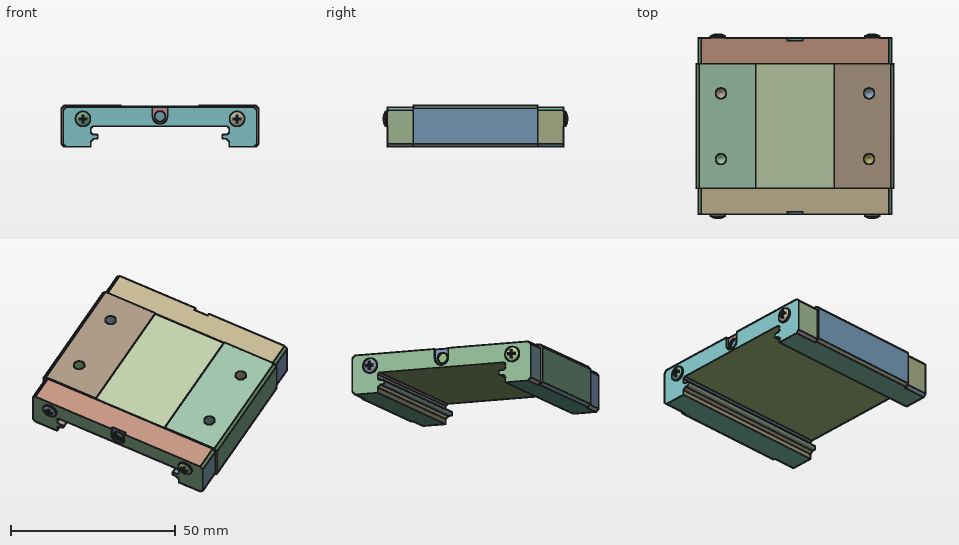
import cadquery as cq
import math

body_width = 60.0
body_length = 37.8
body_height = 12.6
cap_width = 58.8
cap_height = 12.1
carriage_length = 53.6
edge_chamfer = 0.9

channel_half_width = 21.0
channel_height = 6.25
channel_corner_chamfer = 0.6
tongue_half_gap = 18.85
tongue_top = 3.85
tongue_bottom = 2.45
tongue_tip_radius = 0.55
tongue_root_half_gap = 20.1
notch_top = 4.5
notch_bottom = 1.6

pad_recess_half_width = 11.9
pad_recess_depth = 0.25

hole_diameter = 3.25
hole_spacing_x = 45.0
hole_spacing_y = 20.0
hole_depth = 4.0
drill_tip_angle = 118.0

screw_spacing = 46.8
screw_z = 8.5
head_radius = 2.3
head_rim_height = 0.5
head_height = 1.2
cross_length = 2.35
cross_width = 0.55
cross_depth = 0.6

port_z = 9.3
port_slot_radius = 2.3
port_slot_depth = 0.8
port_hole_radius = 1.6
port_hole_depth = 1.45

cap_end = carriage_length / 2


def block(width, height, length):
    """Bar along Y, centred in X and Y, standing on Z = 0, long edges chamfered."""
    bar = cq.Workplane("XY").box(width, length, height, centered=(True, True, False))
    return bar.edges("|Y").chamfer(edge_chamfer)


def rail_channel():
    """Channel for the rail, with a round-tipped tongue reaching in from each leg."""
    right_half = (
        cq.Workplane("XZ")
        .lineTo(channel_half_width, 0)
        .lineTo(channel_half_width, notch_bottom)
        .lineTo(tongue_root_half_gap, tongue_bottom)
        .lineTo(tongue_half_gap + tongue_tip_radius, tongue_bottom)
        .tangentArcPoint((tongue_half_gap, tongue_bottom + tongue_tip_radius), relative=False)
        .lineTo(tongue_half_gap, tongue_top - tongue_tip_radius)
        .tangentArcPoint((tongue_half_gap + tongue_tip_radius, tongue_top), relative=False)
        .lineTo(tongue_root_half_gap, tongue_top)
        .tangentArcPoint((channel_half_width, notch_top), relative=False)
        .lineTo(channel_half_width, channel_height - channel_corner_chamfer)
        .lineTo(channel_half_width - channel_corner_chamfer, channel_height)
        .lineTo(0, channel_height)
        .close()
        .extrude(cap_end, both=True)
    )
    return right_half.union(right_half.mirror("YZ"))


def pad_recess():
    """Cutter for the slightly lower strip between the mounting pads."""
    strip = cq.Workplane("XY").workplane(offset=body_height - pad_recess_depth)
    return strip.rect(2 * pad_recess_half_width, body_length).extrude(pad_recess_depth)


def mounting_holes():
    """Cutters for the blind holes, each ending in a drill point."""
    radius = hole_diameter / 2
    tip_length = radius / math.tan(math.radians(drill_tip_angle / 2))
    outline = [
        (0, 0),
        (radius, 0),
        (radius, -hole_depth),
        (0, -hole_depth - tip_length),
    ]
    drill = cq.Workplane("XZ").polyline(outline).close().revolve(360, (0, 0), (0, 1))
    drill = drill.translate((0, 0, body_height)).val()
    centres = cq.Workplane("XY").rect(hole_spacing_x, hole_spacing_y, forConstruction=True)
    return centres.vertices().eachpoint(lambda place: drill.moved(place), combine=False)


def screw_head():
    """Domed head with a cross recess, its base at the origin, pointing along -Y."""
    dome_rise = head_height - head_rim_height
    dome_radius = (head_radius**2 + dome_rise**2) / (2 * dome_rise)
    dome_centre = head_height - dome_radius
    half_angle = math.asin(head_radius / dome_radius) / 2
    arc_middle = (
        dome_radius * math.sin(half_angle),
        -dome_centre - dome_radius * math.cos(half_angle),
    )
    head = (
        cq.Workplane("XY")
        .lineTo(head_radius, 0)
        .lineTo(head_radius, -head_rim_height)
        .threePointArc(arc_middle, (0, -head_height))
        .close()
        .revolve(360, (0, 0), (0, 1))
    )
    recess_plane = cq.Workplane("XZ").workplane(offset=head_height - cross_depth)
    for length_x, length_z in ((cross_length, cross_width), (cross_width, cross_length)):
        head = head.cut(recess_plane.rect(length_x, length_z).extrude(cross_depth))
    return head


def lubrication_port():
    """Cutter for the front port: a U-shaped slot open at the top, and a round hole."""
    face = cq.Workplane("XZ", origin=(0, -cap_end, port_z))
    slot_top = body_height - port_z
    slot = (
        face.moveTo(-port_slot_radius, slot_top)
        .lineTo(-port_slot_radius, 0)
        .threePointArc((0, -port_slot_radius), (port_slot_radius, 0))
        .lineTo(port_slot_radius, slot_top)
        .close()
        .extrude(-port_slot_depth)
    )
    hole = face.circle(port_hole_radius).extrude(-port_hole_depth)
    return slot.union(hole)


def both_ends(front_feature):
    """The feature together with its mirror image at the back end."""
    return front_feature.union(front_feature.mirror("XZ"))


carriage = block(body_width, body_height, body_length)
carriage = carriage.union(block(cap_width, cap_height, carriage_length))
carriage = carriage.cut(rail_channel())
carriage = carriage.cut(pad_recess())
carriage = carriage.cut(mounting_holes())
carriage = carriage.cut(both_ends(lubrication_port()))
for screw_x in (-screw_spacing / 2, screw_spacing / 2):
    screw = screw_head().translate((screw_x, -cap_end, screw_z))
    carriage = carriage.union(both_ends(screw))

result = carriage